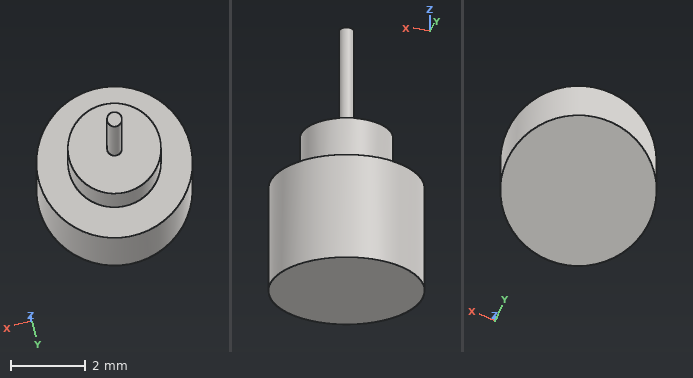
import cadquery as cq

total_height = 7.75
base_diameter = 4.2
base_height = 3.05
neck_diameter = 2.5
neck_height = 1.5
pin_diameter = 0.4

neck_top = base_height + neck_height
pin_length = total_height - neck_top


def cylinder(diameter, height, bottom):
    """Upright cylinder on the Z axis, starting at height `bottom`."""
    return cq.Workplane("XY").workplane(offset=bottom).circle(diameter / 2).extrude(height)


base = cylinder(base_diameter, base_height, 0)
neck = cylinder(neck_diameter, neck_height, base_height)
pin = cylinder(pin_diameter, pin_length, neck_top)

result = base.union(neck).union(pin)